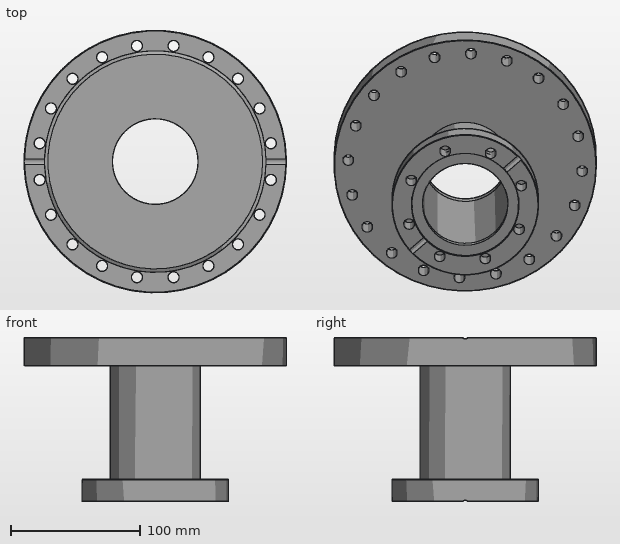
import cadquery as cq

total_height = 127.0
bore_diameter = 66.0
tube_diameter = 70.0
bolt_hole_diameter = 8.3
edge_chamfer = 0.5

upper_diameter = 203.0
upper_thickness = 22.1
upper_bolt_circle = 181.0
upper_bolt_count = 20
recess_diameter = 171.3
knife_diameter = 166.0
recess_depth = 1.8
knife_depth = 0.8
face_depth = 1.2
tube_stop = 7.3

ring_diameter = 113.5
ring_thickness = 17.5
ring_bolt_circle = 92.2
ring_bolt_count = 8
ring_bore = 76.1
ring_counterbore = 83.2
hub_diameter = 82.5
hub_top = 12.5
tube_socket_depth = 6.0

groove_width = 4.3
groove_depth = 1.0
groove_radius = ((groove_width / 2) ** 2 + groove_depth ** 2) / (2 * groove_depth)

hub_bottom = face_depth
tube_bottom = hub_top - tube_socket_depth
tube_top = total_height - face_depth - tube_stop
upper_bottom = total_height - upper_thickness


def cylinder(diameter, bottom, top):
    return cq.Workplane("XY").workplane(offset=bottom).circle(diameter / 2).extrude(top - bottom)


def bolt_holes(circle_diameter, count, bottom, top):
    """Evenly spaced holes, with the X axis midway between two of them."""
    return (
        cq.Workplane("XY").workplane(offset=bottom)
        .polarArray(circle_diameter / 2, 180 / count, 360, count)
        .circle(bolt_hole_diameter / 2)
        .extrude(top - bottom)
    )


def groove_cutter(axis_height):
    """Round bar along X that cuts a pair of opposite grooves."""
    return (
        cq.Workplane("YZ").center(0, axis_height)
        .circle(groove_radius)
        .extrude(upper_diameter / 2, both=True)
    )


def recess_cutter():
    """Stepped recess whose floor slopes up to a knife edge around the flat face."""
    face_height = total_height - face_depth
    return (
        cq.Workplane("XZ")
        .moveTo(0, total_height)
        .lineTo(recess_diameter / 2, total_height)
        .lineTo(recess_diameter / 2, total_height - recess_depth)
        .lineTo(knife_diameter / 2, total_height - knife_depth)
        .lineTo(knife_diameter / 2, face_height)
        .lineTo(0, face_height)
        .close()
        .revolve(360, (0, 0, 0), (0, 1, 0))
    )


def make_upper_flange():
    flange = cylinder(upper_diameter, upper_bottom, total_height).edges().chamfer(edge_chamfer)
    groove_axis = total_height - groove_depth + groove_radius
    rim_grooves = groove_cutter(groove_axis).cut(cylinder(recess_diameter, upper_bottom, total_height))
    return (
        flange
        .cut(recess_cutter())
        .cut(cylinder(bore_diameter, upper_bottom, total_height))
        .cut(cylinder(tube_diameter, upper_bottom, tube_top))
        .cut(bolt_holes(upper_bolt_circle, upper_bolt_count, upper_bottom, total_height))
        .cut(rim_grooves)
    )


def make_tube():
    return cylinder(tube_diameter, tube_bottom, tube_top).cut(cylinder(bore_diameter, tube_bottom, tube_top))


def make_hub():
    return (
        cylinder(hub_diameter, hub_bottom, hub_top)
        .cut(cylinder(bore_diameter, hub_bottom, hub_top))
        .cut(cylinder(tube_diameter, tube_bottom, hub_top))
    )


def make_ring():
    ring = cylinder(ring_diameter, 0, ring_thickness).edges().chamfer(edge_chamfer)
    groove_axis = groove_depth - groove_radius
    return (
        ring
        .cut(cylinder(ring_bore, 0, ring_thickness))
        .cut(cylinder(ring_counterbore, 0, hub_top))
        .cut(bolt_holes(ring_bolt_circle, ring_bolt_count, 0, ring_thickness))
        .cut(groove_cutter(groove_axis))
    )


upper_flange = make_upper_flange()
tube = make_tube()
hub = make_hub()
ring = make_ring()

result = cq.Compound.makeCompound([upper_flange.val(), tube.val(), hub.val(), ring.val()])